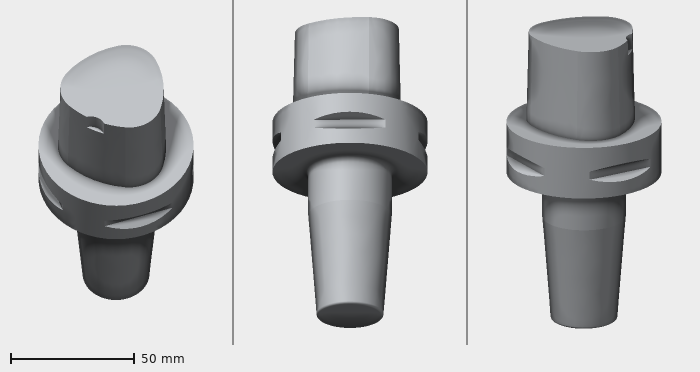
import cadquery as cq
import math

total_height = 123.0
shank_height = 38.0
flange_height = 21.9
flange_top = total_height - shank_height
flange_bottom = flange_top - flange_height
nose_cone_height = 44.0

flange_diameter = 63.0
neck_diameter = 34.0
nose_diameter = 27.0
neck_fillet = 2.2
nose_fillet = 1.0

lobe_reach = 23.6
flank_distance = 20.3
lobe_radius = 14.1
lobe_count = 3
shank_taper = math.degrees(math.atan(1 / 40))

notch_radius = 5.8
notch_depth = 1.7
notch_height = 6.4

groove_count = 4
groove_floor_distance = 27.9
groove_floor_width = 3.5
groove_wall_angle = 30.0
groove_drop = 12.0


def polar(radius, degrees):
    angle = math.radians(degrees)
    return (radius * math.cos(angle), radius * math.sin(angle))


def make_body():
    flange_radius = flange_diameter / 2
    neck_radius = neck_diameter / 2
    nose_radius = nose_diameter / 2
    profile = (
        cq.Workplane("XZ")
        .moveTo(0, 0)
        .lineTo(nose_radius, 0)
        .lineTo(neck_radius, nose_cone_height)
        .lineTo(neck_radius, flange_bottom - neck_fillet)
        .radiusArc((neck_radius + neck_fillet, flange_bottom), neck_fillet)
        .lineTo(flange_radius, flange_bottom)
        .lineTo(flange_radius, flange_top)
        .lineTo(0, flange_top)
        .close()
    )
    body = profile.revolve(360, (0, 0, 0), (0, 1, 0))
    return body.faces("<Z").edges().fillet(nose_fillet)


def make_shank():
    lobe_offset = lobe_reach - lobe_radius
    half_pitch = math.pi / lobe_count
    gap = flank_distance - lobe_radius
    along = lobe_offset * math.cos(half_pitch)
    across = lobe_offset * math.sin(half_pitch)
    flank_offset = (along**2 + across**2 - gap**2) / (2 * (gap - along))
    flank_radius = flank_distance + flank_offset

    normal_angle = math.atan2(across, along + flank_offset)
    joint_along = flank_radius * math.cos(normal_angle) - flank_offset
    joint_across = flank_radius * math.sin(normal_angle)
    joint_radius = math.hypot(joint_along, joint_across)
    joint_angle = math.degrees(math.atan2(joint_across, joint_along))

    pitch = 360 / lobe_count
    front_flank = -90
    outline = cq.Workplane("XY", origin=(0, 0, flange_top))
    outline = outline.moveTo(*polar(joint_radius, front_flank - joint_angle))
    for index in range(lobe_count):
        flank = front_flank + index * pitch
        next_flank = flank + pitch
        outline = outline.threePointArc(
            polar(flank_distance, flank), polar(joint_radius, flank + joint_angle)
        )
        outline = outline.threePointArc(
            polar(lobe_reach, flank + pitch / 2), polar(joint_radius, next_flank - joint_angle)
        )
    return outline.close().extrude(shank_height, taper=shank_taper)


def make_notch():
    top_flank_distance = flank_distance - shank_height * math.tan(math.radians(shank_taper))
    centre_y = -(top_flank_distance - notch_depth + notch_radius)
    top_plane = cq.Workplane("XY", origin=(0, centre_y, total_height))
    lean_axis = top_plane.transformed(rotate=(-shank_taper, 0, 0))
    cutter = lean_axis.workplane(offset=-notch_height).circle(notch_radius)
    return cutter.extrude(2 * notch_height)


def make_groove(angle):
    groove_z = flange_top - groove_drop
    outer_radius = flange_diameter / 2
    floor_half = groove_floor_width / 2
    flare = (outer_radius - groove_floor_distance) * math.tan(math.radians(groove_wall_angle))
    mouth_half = floor_half + flare
    section = cq.Workplane("XZ", origin=(0, 0, groove_z)).polyline(
        [
            (groove_floor_distance, -floor_half),
            (outer_radius, -mouth_half),
            (outer_radius, mouth_half),
            (groove_floor_distance, floor_half),
        ]
    )
    groove = section.close().extrude(outer_radius, both=True)
    return groove.rotate((0, 0, 0), (0, 0, 1), angle)


result = make_body().union(make_shank()).cut(make_notch())
groove_pitch = 360 / groove_count
for groove_index in range(groove_count):
    result = result.cut(make_groove((groove_index + 0.5) * groove_pitch))